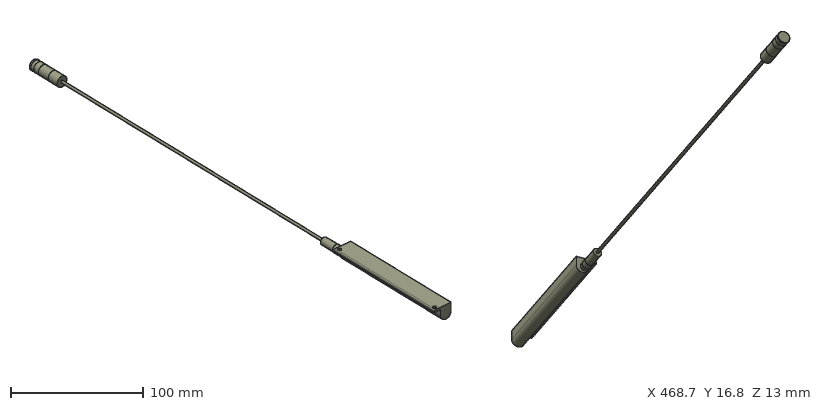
import cadquery as cq

total_length = 468.7
rail_width = 16.8
rail_height = 13.0

rail_length = 114.8
bar_radius = 5.3
rail_back_y = 7.0
rail_bottom_z = -5.2
flange_thickness = 2.3
nose_radius = 1.0

hole_diameter = 3.0
hole_end_distance = 3.1
hole_nose_distance = 3.0

plug_sections = [(1.6, 9.8), (3.3, 9.6), (5.4, 9.8), (11.2, 9.6), (10.3, 9.8)]

sleeve_sections = [(13.9, 7.0), (5.6, 7.4), (3.2, 7.0)]

cable_diameter = 2.4

rail_start_x = total_length - rail_length
rail_top_z = rail_bottom_z + rail_height
bar_axis_y = rail_back_y - bar_radius
bar_axis_z = rail_bottom_z + bar_radius
bar_front_y = rail_back_y - 2 * bar_radius
flange_bottom_z = rail_top_z - flange_thickness
nose_tip_y = rail_back_y - rail_width
plug_length = sum(length for length, _ in plug_sections)
sleeve_start_x = rail_start_x - sum(length for length, _ in sleeve_sections)


def turned(start_x, sections):
    """Stepped round body along X, built from (length, diameter) stretches."""
    profile = cq.Workplane("XZ").moveTo(start_x, 0)
    x = start_x
    for length, diameter in sections:
        profile = profile.lineTo(x, diameter / 2)
        x += length
        profile = profile.lineTo(x, diameter / 2)
    profile = profile.lineTo(x, 0).close()
    return profile.revolve(360, (0, 0, 0), (1, 0, 0))


def make_rail():
    """Constant section along X: straight-sided bar, half-round below, flange above."""
    blank = (
        cq.Workplane("YZ", origin=(rail_start_x, 0, 0))
        .moveTo(rail_back_y, rail_top_z)
        .lineTo(rail_back_y, bar_axis_z)
        .threePointArc((bar_axis_y, rail_bottom_z), (bar_front_y, bar_axis_z))
        .lineTo(bar_front_y, flange_bottom_z)
        .lineTo(nose_tip_y, flange_bottom_z)
        .lineTo(nose_tip_y, rail_top_z)
        .close()
        .extrude(rail_length)
    )
    return blank.faces("<Y").edges("|X and >Z").fillet(nose_radius)


def make_flange_holes():
    hole_y = nose_tip_y + hole_nose_distance
    hole_places = [
        (rail_start_x + hole_end_distance, hole_y),
        (total_length - hole_end_distance, hole_y),
    ]
    return (
        cq.Workplane("XY", origin=(0, 0, flange_bottom_z))
        .pushPoints(hole_places)
        .circle(hole_diameter / 2)
        .extrude(flange_thickness)
    )


rail = make_rail().cut(make_flange_holes())
sleeve = turned(sleeve_start_x, sleeve_sections)
cable = turned(plug_length, [(sleeve_start_x - plug_length, cable_diameter)])
plug = turned(0, plug_sections)

result = rail.union(sleeve).union(cable).union(plug)